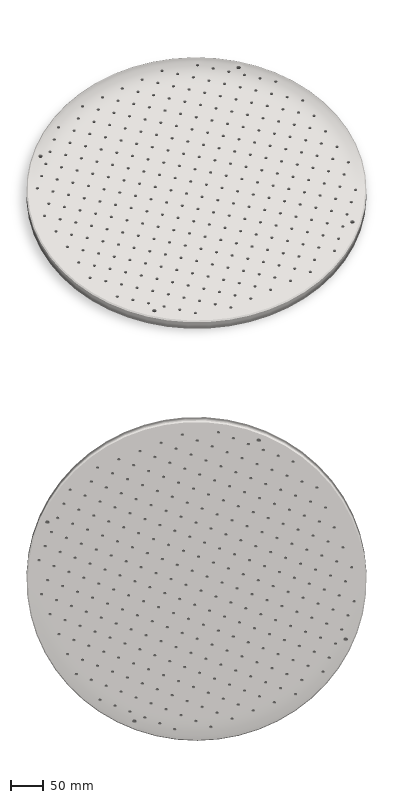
import cadquery as cq
import math

plate_diameter = 525.0
plate_thickness = 20.0
edge_chamfer = 2.0

pitches_across = 21
grid_pitch = plate_diameter / pitches_across
grid_rows = 20
grid_hole_diameter = 5.0
grid_limit_radius = 247.0

mount_hole_diameter = 7.0
mount_hole_count = 4
mount_circle_radius = 249.5


def make_plate():
    """Round plate centred on the origin, chamfered on both rims."""
    plate = cq.Workplane("XY").circle(plate_diameter / 2).extrude(plate_thickness)
    return plate.faces("<Z or >Z").edges().chamfer(edge_chamfer)


def grid_positions():
    """Grid points about the centre that lie inside the limit radius."""
    offsets = [(i - (grid_rows - 1) / 2) * grid_pitch for i in range(grid_rows)]
    return [(x, y) for x in offsets for y in offsets if math.hypot(x, y) <= grid_limit_radius]


def make_grid_holes():
    """Cylinders that cut the grid holes through the plate."""
    positions = cq.Workplane("XY").pushPoints(grid_positions())
    return positions.circle(grid_hole_diameter / 2).extrude(plate_thickness)


def make_mount_holes():
    """Cylinders that cut the four mounting holes through the plate."""
    positions = cq.Workplane("XY").polarArray(mount_circle_radius, 0, 360, mount_hole_count)
    return positions.circle(mount_hole_diameter / 2).extrude(plate_thickness)


result = make_plate().cut(make_grid_holes()).cut(make_mount_holes())